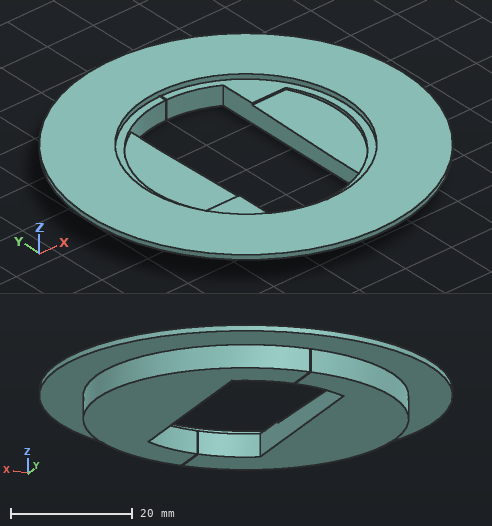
import cadquery as cq

flange_diameter = 68
total_height = 5.0
flange_thickness = 1.0
hub_diameter = 53.5
hub_height = total_height - flange_thickness

seat_diameter = 43.05
seat_depth = 1.0
bore_diameter = 40.0
slot_width = bore_diameter / 2
ramp_length = slot_width
ramp_start_depth = 0.35
ramp_end_depth = 0.8
slit_width = 0.2

seat_level = total_height - seat_depth


def disc(diameter, bottom, height):
    return cq.Workplane("XY").workplane(offset=bottom).circle(diameter / 2).extrude(height)


def ramp_recess(side):
    """Recess beside the slot: a ramp across the middle leading down to one flat, sunken corner."""
    ramp_end = ramp_length / 2
    radius = bore_diameter / 2
    profile = [
        (ramp_end, seat_level),
        (ramp_end, seat_level - ramp_start_depth),
        (-ramp_end, seat_level - ramp_end_depth),
        (-radius, seat_level - ramp_end_depth),
        (-radius, seat_level),
    ]
    recess = cq.Workplane("YZ").polyline(profile).close().extrude(radius)
    recess = recess.intersect(disc(bore_diameter, 0, seat_level))
    if side < 0:
        recess = recess.rotate((0, 0, 0), (0, 0, 1), 180)
    return recess


body = disc(hub_diameter, 0, hub_height)
body = body.union(disc(flange_diameter, hub_height, flange_thickness))
body = body.cut(disc(seat_diameter, seat_level, seat_depth))

slot = cq.Workplane("XY").rect(slot_width, bore_diameter).extrude(seat_level)
body = body.cut(slot.intersect(disc(bore_diameter, 0, seat_level)))

for side in (-1, 1):
    body = body.cut(ramp_recess(side))

slit = cq.Workplane("XY").rect(slit_width, hub_diameter).extrude(hub_height)
result = body.cut(slit)